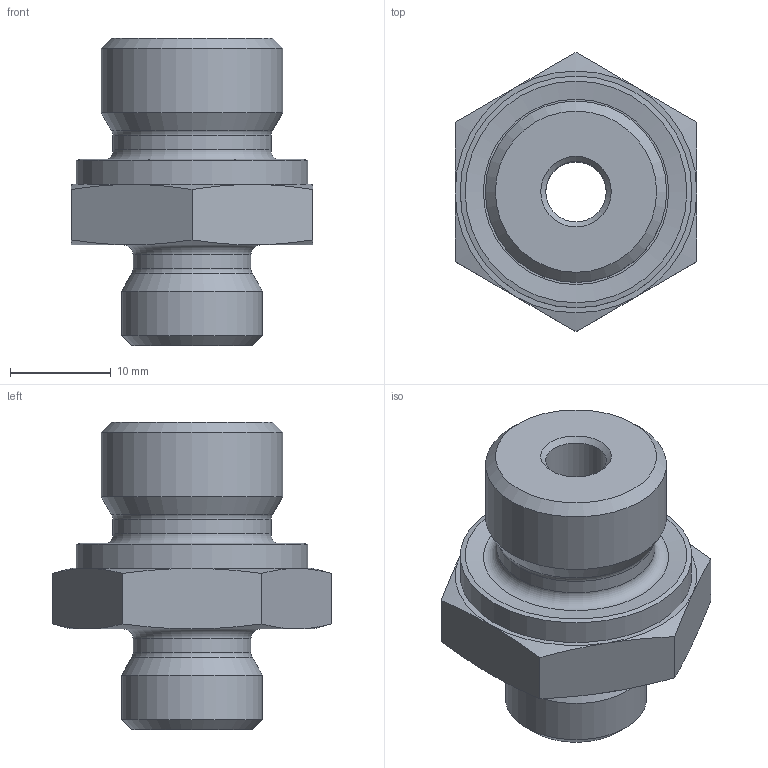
import cadquery as cq
import math

hex_bottom_z = 10.0
hex_height = 6.0
flange_height = 2.5
upper_stud_length = 12.0
hex_top_z = hex_bottom_z + hex_height
rim_z = hex_top_z + flange_height
top_z = rim_z + upper_stud_length

across_flats = 24.0
across_corners = across_flats / math.cos(math.radians(30))
hex_chamfer_angle = math.radians(15)

lower_radius = 14.0 / 2
upper_radius = 18.0 / 2
end_chamfer = 1.0

lower_relief_radius = 11.7 / 2
upper_relief_radius = 15.7 / 2
relief_length = 4.6
run_out_angle = math.radians(30)
run_out_fillet = 1.0
lower_root_fillet = 1.0
upper_root_fillet = 1.2
upper_root_start = 0.95

flange_radius = 23.0 / 2
rim_radius = 11.0
flange_chamfer_height = 0.1
seal_face_angle = math.radians(7)

bore_radius = 6.0 / 2
bore_chamfer = 0.5


def arc_point(center, radius, angle):
    """Point of a circle in the (radius, height) plane."""
    return (center[0] + radius * math.cos(angle), center[1] + radius * math.sin(angle))


def run_out_points(relief_radius, stud_radius, cone_end_z, up):
    """Run-out fillet and cone: start, middle and end of the arc, then the cone's outer end.

    up is +1 when the stud lies above its relief and -1 when it lies below.
    """
    arc_radial = run_out_fillet * (1 - math.cos(run_out_angle))
    arc_axial = run_out_fillet * math.sin(run_out_angle)
    cone_axial = (stud_radius - relief_radius - arc_radial) / math.tan(run_out_angle)
    start_z = cone_end_z - up * (cone_axial + arc_axial)
    center = (relief_radius + run_out_fillet, start_z)
    start = (relief_radius, start_z)
    middle = arc_point(center, run_out_fillet, math.pi - up * run_out_angle / 2)
    end = arc_point(center, run_out_fillet, math.pi - up * run_out_angle)
    return start, middle, end, (stud_radius, cone_end_z)


def make_lower_stud():
    """Lower stud with its relief, filleted into the underside of the hexagon."""
    start, middle, end, cone_end = run_out_points(
        lower_relief_radius, lower_radius, hex_bottom_z - relief_length, -1
    )
    root_z = hex_bottom_z - lower_root_fillet
    root_center = (lower_relief_radius + lower_root_fillet, root_z)
    return (
        cq.Workplane("XZ")
        .moveTo(0, 0)
        .lineTo(lower_radius - end_chamfer, 0)
        .lineTo(lower_radius, end_chamfer)
        .lineTo(*cone_end)
        .lineTo(*end)
        .threePointArc(middle, start)
        .lineTo(lower_relief_radius, root_z)
        .threePointArc(
            arc_point(root_center, lower_root_fillet, math.radians(135)),
            (root_center[0], hex_bottom_z),
        )
        .lineTo(0, hex_bottom_z)
        .close()
        .revolve(360, (0, 0), (0, 1))
    )


def make_hexagon():
    """Hexagon with two faces square to X, its corners turned off at both ends."""
    prism = (
        cq.Workplane("XY", origin=(0, 0, hex_bottom_z))
        .polygon(6, across_corners)
        .extrude(hex_height)
        .rotate((0, 0, 0), (0, 0, 1), 30)
    )
    face_radius = across_flats / 2
    corner_radius = across_corners / 2
    corner_drop = (corner_radius - face_radius) * math.tan(hex_chamfer_angle)
    turned = (
        cq.Workplane("XZ")
        .moveTo(0, hex_bottom_z)
        .lineTo(face_radius, hex_bottom_z)
        .lineTo(corner_radius, hex_bottom_z + corner_drop)
        .lineTo(corner_radius, hex_top_z - corner_drop)
        .lineTo(face_radius, hex_top_z)
        .lineTo(0, hex_top_z)
        .close()
        .revolve(360, (0, 0), (0, 1))
    )
    return prism.intersect(turned)


def make_upper_stud():
    """Sealing flange, undercut relief and upper stud as one turned body."""
    start, middle, end, cone_end = run_out_points(
        upper_relief_radius, upper_radius, rim_z + relief_length, 1
    )
    root_center = (upper_relief_radius + upper_root_fillet, rim_z + upper_root_start)
    seal_tangent_angle = seal_face_angle - math.pi / 2
    root_middle_angle = (seal_tangent_angle - math.pi) / 2
    root_end = arc_point(root_center, upper_root_fillet, seal_tangent_angle)
    root_middle = arc_point(root_center, upper_root_fillet, root_middle_angle)
    return (
        cq.Workplane("XZ")
        .moveTo(0, hex_top_z)
        .lineTo(flange_radius, hex_top_z)
        .lineTo(flange_radius, rim_z - flange_chamfer_height)
        .lineTo(rim_radius, rim_z)
        .lineTo(*root_end)
        .threePointArc(root_middle, (upper_relief_radius, root_center[1]))
        .lineTo(*start)
        .threePointArc(middle, end)
        .lineTo(*cone_end)
        .lineTo(upper_radius, top_z - end_chamfer)
        .lineTo(upper_radius - end_chamfer, top_z)
        .lineTo(0, top_z)
        .close()
        .revolve(360, (0, 0), (0, 1))
    )


def make_bore():
    """Through bore with a chamfered mouth at the top."""
    return (
        cq.Workplane("XZ")
        .moveTo(0, 0)
        .lineTo(bore_radius, 0)
        .lineTo(bore_radius, top_z - bore_chamfer)
        .lineTo(bore_radius + bore_chamfer, top_z)
        .lineTo(0, top_z)
        .close()
        .revolve(360, (0, 0), (0, 1))
    )


body = make_lower_stud().union(make_hexagon()).union(make_upper_stud())
result = body.cut(make_bore())